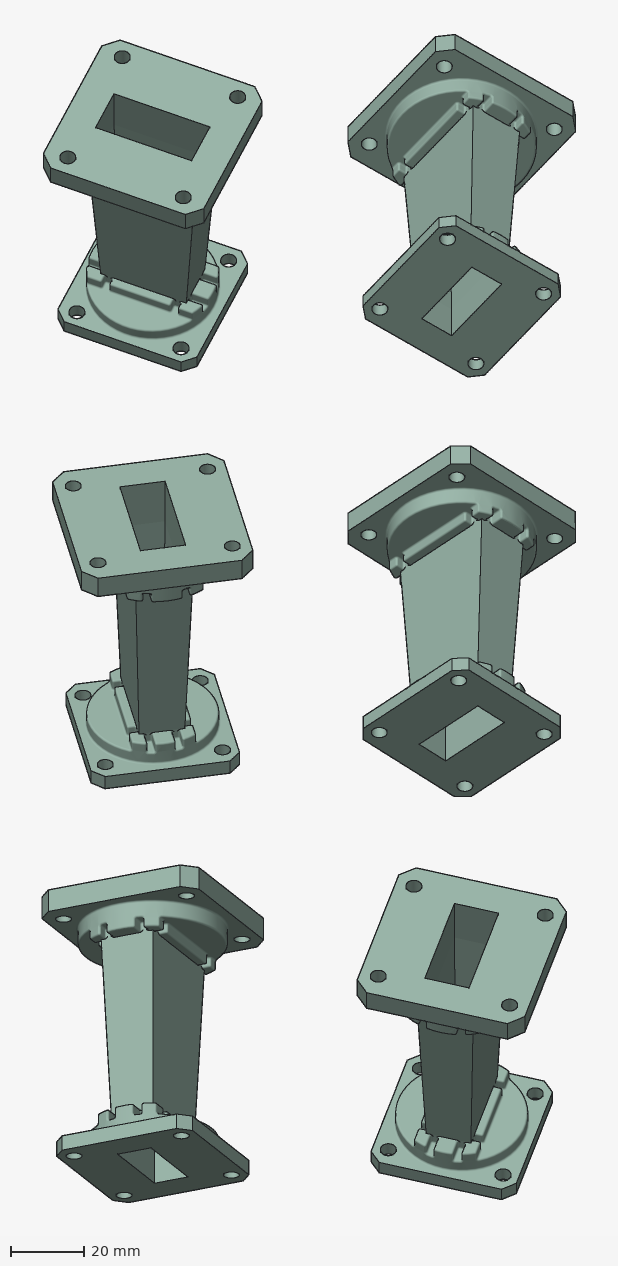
import cadquery as cq
import math

total_height = 76.2
edge_radius = 0.565
hole_diameter = 4.35
slot_width = 2.2
slot_inset = 2.5
tolerance = 0.01

small_flange = {
    "side": 41.3,
    "chamfer": 3.3,
    "plate_top": 4.3,
    "step_top": 7.9,
    "band_top": 11.1,
    "boss_radius": 18.05,
    "band_width": 17.7,
    "wall": 1.3,
    "bore": (22.85, 10.1),
    "hole_offset": (15.5, 16.3),
}
large_flange = {
    "side": 47.6,
    "chamfer": 3.8,
    "plate_top": 6.4,
    "step_top": 11.2,
    "band_top": 14.0,
    "boss_radius": 20.35,
    "band_width": 21.1,
    "wall": 1.6,
    "bore": (28.5, 12.6),
    "hole_offset": (17.15, 18.7),
}


def tube_size(flange):
    """Outer size of the tube at a flange."""
    return tuple(size + 2 * flange["wall"] for size in flange["bore"])


def sharp_flange(flange):
    """Chamfered plate, round boss and slotted band, before the boss edges are rounded."""
    radius = flange["boss_radius"]
    half_x, half_y = (size / 2 for size in tube_size(flange))
    band_depth = flange["band_top"] - flange["step_top"]

    plate = cq.Workplane("XY").rect(flange["side"], flange["side"]).extrude(flange["plate_top"])
    plate = plate.edges("|Z").chamfer(flange["chamfer"])

    def cutter(size_x, size_y, centre_x, centre_y):
        """Box as deep as the band, standing on the step."""
        floor = cq.Workplane("XY", origin=(centre_x, centre_y, flange["step_top"]))
        return floor.box(size_x, size_y, band_depth, centered=(True, True, False))

    boss = cq.Workplane("XY").circle(radius).extrude(flange["band_top"])
    for side_y in (-1, 1):
        step_centre = side_y * (flange["band_width"] / 2 + radius)
        boss = boss.cut(cutter(2 * radius, 2 * radius, 0, step_centre))
        for side_x in (-1, 1):
            end_slot = cutter(radius, slot_width, side_x * (half_x + radius / 2), side_y * (half_y - slot_inset))
            side_slot = cutter(slot_width, radius, side_x * (half_x - slot_inset), side_y * (half_y + radius / 2))
            boss = boss.cut(end_slot).cut(side_slot)
    return plate.union(boss)


def round_boss_edges(blank, flange):
    """Round every edge of the boss except those along the tube."""
    half_x, half_y = (size / 2 for size in tube_size(flange))

    def at_height(edge, height):
        return abs(edge.Center().z - height) < tolerance

    def is_vertical(edge):
        return edge.BoundingBox().zlen > tolerance

    def above_plate(edge):
        return edge.Center().z > flange["plate_top"] + tolerance

    def on_boss_side(edge):
        points = [edge.positionAt(fraction) for fraction in (0, 0.5, 1)]
        return all(abs(math.hypot(p.x, p.y) - flange["boss_radius"]) < tolerance for p in points)

    def is_start_line(edge):
        return is_vertical(edge) and edge.BoundingBox().zmin < flange["plate_top"] + 2 * edge_radius

    def at_tube(edge):
        centre = edge.Center()
        return abs(centre.x) < half_x + tolerance and abs(centre.y) < half_y + tolerance

    def is_slot_mouth(edge):
        return above_plate(edge) and is_vertical(edge) and not on_boss_side(edge) and not at_tube(edge)

    def is_inner_corner(edge):
        slot_end = above_plate(edge) and is_vertical(edge) and at_tube(edge)
        step_corner = at_height(edge, flange["step_top"]) and not on_boss_side(edge)
        return slot_end or step_corner

    def is_outer_edge(edge):
        side_edge = on_boss_side(edge) and not is_start_line(edge)
        foot_or_rim = side_edge and (above_plate(edge) or at_height(edge, flange["plate_top"]))
        top_edge = at_height(edge, flange["band_top"]) and not at_tube(edge)
        return foot_or_rim or top_edge

    rounded = blank
    for belongs in (is_slot_mouth, is_inner_corner, is_outer_edge):
        edges = [edge for edge in rounded.edges().vals() if belongs(edge)]
        rounded = rounded.newObject(edges).fillet(edge_radius)
    return rounded


def finished_flange(flange):
    """Flange with its outer face at Z = 0 and the boss above."""
    hole_x, hole_y = flange["hole_offset"]
    holes = (
        cq.Workplane("XY")
        .rect(2 * hole_x, 2 * hole_y, forConstruction=True)
        .vertices()
        .circle(hole_diameter / 2)
        .extrude(flange["plate_top"])
    )
    return round_boss_edges(sharp_flange(flange), flange).cut(holes)


def tapered_duct(small_size, large_size):
    """Solid duct, straight inside both flanges and tapered between them."""
    taper_start = small_flange["band_top"]
    taper_end = total_height - large_flange["band_top"]
    taper = (
        cq.Workplane("XY", origin=(0, 0, taper_start))
        .rect(*small_size)
        .workplane(offset=taper_end - taper_start)
        .rect(*large_size)
        .loft(ruled=True)
    )
    lower = cq.Workplane("XY").rect(*small_size).extrude(taper_start)
    upper = cq.Workplane("XY", origin=(0, 0, taper_end)).rect(*large_size).extrude(total_height - taper_end)
    return lower.union(taper).union(upper)


bottom = finished_flange(small_flange)
top = finished_flange(large_flange).rotate((0, 0, 0), (1, 0, 0), 180).translate((0, 0, total_height))
tube = tapered_duct(tube_size(small_flange), tube_size(large_flange))
bore = tapered_duct(small_flange["bore"], large_flange["bore"])

result = tube.union(bottom).union(top).cut(bore)